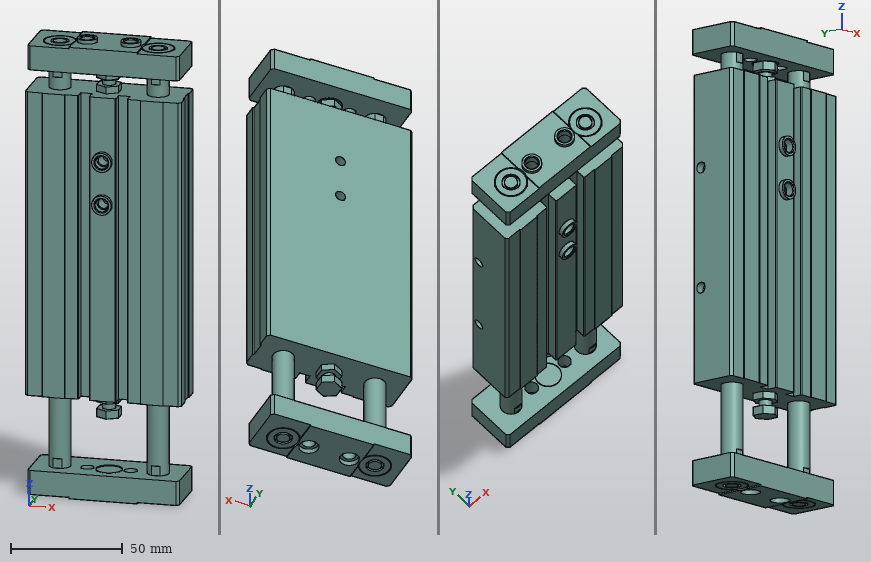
import cadquery as cq
import math

total_height = 213.0

sleeve_diameter = 9.0
sleeve_bore = 6.0
sleeve_length = 4.0
sleeve_chamfer = 0.5
sleeve_pitch = 20.0
yoke_sleeve_projection = 1.7
front_sleeve_projection = 2.1

yoke_width = 69.9
yoke_depth = 25.0
yoke_back = 13.8
yoke_thickness = 12.0
yoke_corner_chamfer = 1.3
pad_width = 31.5
pad_height = 0.6
stop_recess_diameter = 12.0
stop_recess_depth = 0.5

rod_diameter = 10.0
rod_spacing = 45.4
rod_flat_distance = 9.2
rod_flat_height = 4.5
rod_head_diameter = 14.0
rod_head_height = 5.0
rod_head_recess_diameter = 15.0
rod_socket_diameter = 8.0
rod_socket_core_diameter = 6.0
rod_socket_depth = 1.0

housing_width = 72.0
housing_depth = 23.9
housing_bottom = 47.0
housing_length = 142.0
housing_chamfer = 1.3
land_height = 0.5
rod_land_width = 10.5
slot_inner = 5.8
slot_outer = 11.7
slot_depth = 5.1
slot_mouth_chamfer = 0.5
side_groove_width = 7.5
side_groove_depth = 0.6
through_hole_diameter = 5.0
side_hole_diameter = 5.0
side_hole_depth = 4.3
side_hole_cone_depth = 1.5
side_hole_y = 6.8
side_hole_drop = 43.2
side_hole_pitch = 55.4
first_sleeve_drop = 29.8

stud_diameter = 6.0
stud_hex_flats = 10.0
stud_nut_height = 3.2
stud_head_height = 3.8
stud_shoulder_height = 0.6
stud_shoulder_diameter = 8.0
stud_projection = 10.2

housing_top = housing_bottom + housing_length
land_front = -housing_depth / 2
housing_front = land_front + land_height
housing_back = housing_depth / 2
upper_yoke_top = total_height - yoke_sleeve_projection
yoke_centre_y = yoke_back - yoke_depth / 2
rod_places = [(-rod_spacing / 2, 0), (rod_spacing / 2, 0)]
yoke_sleeve_places = [(-sleeve_pitch / 2, 0), (sleeve_pitch / 2, 0)]
front_sleeve_heights = [housing_top - first_sleeve_drop - i * sleeve_pitch for i in range(2)]
side_hole_heights = [housing_top - side_hole_drop - i * side_hole_pitch for i in range(2)]
yoke_sleeve_seat = sleeve_length - yoke_sleeve_projection
front_sleeve_seat = sleeve_length - front_sleeve_projection
mid_height = upper_yoke_top / 2


def cylinder(diameter, height, place, bottom):
    """Upright cylinder standing on the height `bottom`."""
    return cq.Workplane("XY", origin=(*place, bottom)).circle(diameter / 2).extrude(height)


def block(x_min, x_max, y_min, y_max, z_min, z_max):
    return cq.Workplane("XY").box(
        x_max - x_min, y_max - y_min, z_max - z_min, centered=False
    ).translate((x_min, y_min, z_min))


def front_cylinder(diameter, length, height, front):
    """Cylinder on X = 0 running from the plane Y = `front` towards +Y."""
    return cq.Workplane("XZ", origin=(0, front, height)).circle(diameter / 2).extrude(-length)


def flipped(body):
    """Mirror a lower-end shape to the upper end of the moving frame."""
    return body.mirror("XY", (0, 0, mid_height))


def make_lower_yoke():
    plate = (
        cq.Workplane("XY", origin=(0, yoke_centre_y, pad_height))
        .rect(yoke_width, yoke_depth)
        .extrude(yoke_thickness - pad_height)
        .edges("|Z")
        .chamfer(yoke_corner_chamfer)
    )
    yoke_front = yoke_back - yoke_depth
    pad = block(-pad_width / 2, pad_width / 2, yoke_front, yoke_back, 0, pad_height)
    yoke = plate.union(pad)
    for place in rod_places:
        yoke = yoke.cut(cylinder(rod_diameter, yoke_thickness, place, 0))
        yoke = yoke.cut(cylinder(rod_head_recess_diameter, rod_head_height, place, 0))
    for place in yoke_sleeve_places:
        yoke = yoke.cut(cylinder(sleeve_bore, yoke_thickness, place, 0))
        yoke = yoke.cut(cylinder(sleeve_diameter, yoke_sleeve_seat, place, 0))
    recess_floor = yoke_thickness - stop_recess_depth
    return yoke.cut(cylinder(stop_recess_diameter, stop_recess_depth, (0, 0), recess_floor))


def make_lower_rod_end_cuts(place):
    """Wrench flats above the yoke and the ring groove in the end of the rod head."""
    ring = cylinder(rod_socket_diameter, rod_socket_depth, place, pad_height).cut(
        cylinder(rod_socket_core_diameter, rod_socket_depth, place, pad_height)
    )
    flat_band = cylinder(rod_diameter, rod_flat_height, place, yoke_thickness)
    kept_core = (
        cq.Workplane("XY", origin=(*place, yoke_thickness))
        .rect(rod_diameter, rod_flat_distance)
        .extrude(rod_flat_height)
    )
    return ring.union(flat_band.cut(kept_core))


def make_rod(place):
    rod = cylinder(rod_diameter, upper_yoke_top - 2 * pad_height, place, pad_height)
    head = cylinder(rod_head_diameter, rod_head_height - pad_height, place, pad_height)
    end_cuts = make_lower_rod_end_cuts(place)
    rod = rod.union(head).union(flipped(head))
    return rod.cut(end_cuts).cut(flipped(end_cuts))


def make_housing():
    housing = (
        block(-housing_width / 2, housing_width / 2, housing_front, housing_back,
              housing_bottom, housing_top)
        .edges("|Z")
        .chamfer(housing_chamfer)
    )
    lands = [(x, rod_land_width) for x, _ in rod_places] + [(0, slot_inner + slot_outer)]
    for centre, width in lands:
        housing = housing.union(
            block(centre - width / 2, centre + width / 2, land_front, 0, housing_bottom, housing_top)
        )
    for side in (-1, 1):
        housing = housing.cut(make_slot(side))
    right_side = housing_width / 2
    housing = housing.cut(
        block(right_side - side_groove_depth, right_side, -side_groove_width / 2, side_groove_width / 2,
              housing_bottom, housing_top)
    )
    for place in rod_places:
        housing = housing.cut(cylinder(rod_diameter, housing_length, place, housing_bottom))
    housing = housing.cut(cylinder(stud_diameter, housing_length, (0, 0), housing_bottom))
    return cut_side_holes(cut_sleeve_holes(housing))


def make_slot(side):
    """Slot beside the middle land with a chamfered mouth; side is -1 or 1."""
    floor = land_front + slot_depth
    throat = land_front + slot_mouth_chamfer
    outline = [
        (slot_inner, land_front),
        (slot_inner + slot_mouth_chamfer, throat),
        (slot_inner + slot_mouth_chamfer, floor),
        (slot_outer - slot_mouth_chamfer, floor),
        (slot_outer - slot_mouth_chamfer, throat + land_height),
        (slot_outer, housing_front),
        (slot_outer, land_front),
    ]
    return (
        cq.Workplane("XY", origin=(0, 0, housing_bottom))
        .polyline([(side * x, y) for x, y in outline])
        .close()
        .extrude(housing_length)
    )


def cut_sleeve_holes(housing):
    """Sleeve seats in the middle land, each with a hole running through to the back."""
    for height in front_sleeve_heights:
        through_hole = front_cylinder(through_hole_diameter, 2 * housing_depth, height, land_front)
        seat = front_cylinder(sleeve_diameter, front_sleeve_seat, height, land_front)
        housing = housing.cut(through_hole).cut(seat)
    return housing


def cut_side_holes(housing):
    """Blind holes with conical bottoms in the -X side."""
    radius = side_hole_diameter / 2
    left_side = -housing_width / 2
    for height in side_hole_heights:
        hole = (
            cq.Workplane("XY", origin=(left_side, side_hole_y, height))
            .polyline([
                (0, 0),
                (0, radius),
                (side_hole_depth, radius),
                (side_hole_depth + side_hole_cone_depth, 0),
            ])
            .close()
            .revolve(360, (0, 0), (1, 0))
        )
        housing = housing.cut(hole)
    return housing


def make_sleeve():
    """Upright sleeve standing on Z = 0, with its bore chamfered at the top."""
    return (
        cq.Workplane("XY")
        .circle(sleeve_diameter / 2)
        .circle(sleeve_bore / 2)
        .extrude(sleeve_length)
        .faces(">Z")
        .edges(cq.selectors.RadiusNthSelector(0))
        .chamfer(sleeve_chamfer)
    )


def make_hexagon(height, bottom):
    """Hexagonal prism with flats facing +X and -X."""
    corner_diameter = stud_hex_flats / math.cos(math.pi / 6)
    return (
        cq.Workplane("XY", origin=(0, 0, bottom))
        .transformed(rotate=(0, 0, 30))
        .polygon(6, corner_diameter)
        .extrude(height)
    )


def make_stop_stud():
    """Stud through the housing with a nut against each housing end and a head at each tip."""
    stud_bottom = housing_bottom - stud_projection
    stud_length = housing_length + 2 * stud_projection
    stud = cylinder(stud_diameter, stud_length, (0, 0), stud_bottom)
    hexagons = [
        (stud_nut_height, housing_bottom - stud_nut_height),
        (stud_nut_height, housing_top),
        (stud_head_height, stud_bottom),
        (stud_head_height, stud_bottom + stud_length - stud_head_height),
    ]
    for height, bottom in hexagons:
        stud = stud.union(make_hexagon(height, bottom))
    shoulder = (
        cq.Workplane("XY", origin=(0, 0, stud_bottom + stud_length - stud_head_height))
        .circle(stud_hex_flats / 2)
        .workplane(offset=-stud_shoulder_height)
        .circle(stud_shoulder_diameter / 2)
        .loft()
    )
    stud = stud.union(shoulder)
    for height in front_sleeve_heights:
        stud = stud.cut(front_cylinder(through_hole_diameter, housing_depth, height, land_front))
    return stud


housing = make_housing()
stop_stud = make_stop_stud()
lower_yoke = make_lower_yoke()
upper_yoke = flipped(lower_yoke)
rods = [make_rod(place) for place in rod_places]
sleeves = [
    make_sleeve().translate((x, y, upper_yoke_top - yoke_sleeve_seat)) for x, y in yoke_sleeve_places
]
for height in front_sleeve_heights:
    front_sleeve = make_sleeve().rotate((0, 0, 0), (1, 0, 0), 90)
    sleeves.append(front_sleeve.translate((0, land_front + front_sleeve_seat, height)))

bodies = [housing, stop_stud, lower_yoke, upper_yoke, *rods, *sleeves]
result = cq.Compound.makeCompound([body.solids().val() for body in bodies])